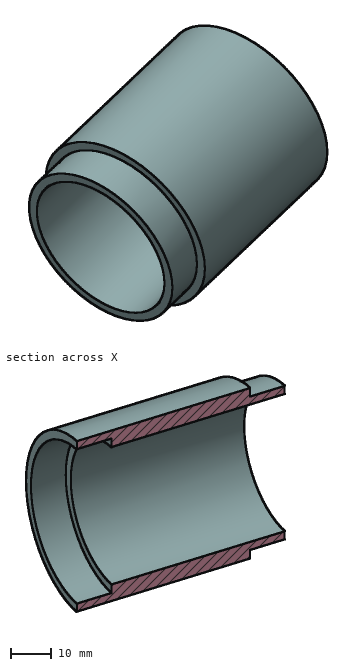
import cadquery as cq

total_length = 60.0
body_diameter = 50.0
bore_diameter = 40.0
joint_diameter = 45.0
joint_length = 10.0


def cylinder_along_y(diameter, start, length):
    """Solid cylinder on the Y axis, growing toward +Y from start."""
    base = cq.Workplane("XZ", origin=(0, start, 0))
    return base.circle(diameter / 2).extrude(-length)


body = cylinder_along_y(body_diameter, joint_length, total_length - joint_length)
spigot = cylinder_along_y(joint_diameter, 0, joint_length)

bore = cylinder_along_y(bore_diameter, 0, total_length)
socket = cylinder_along_y(joint_diameter, total_length - joint_length, joint_length)

result = body.union(spigot).cut(bore).cut(socket)